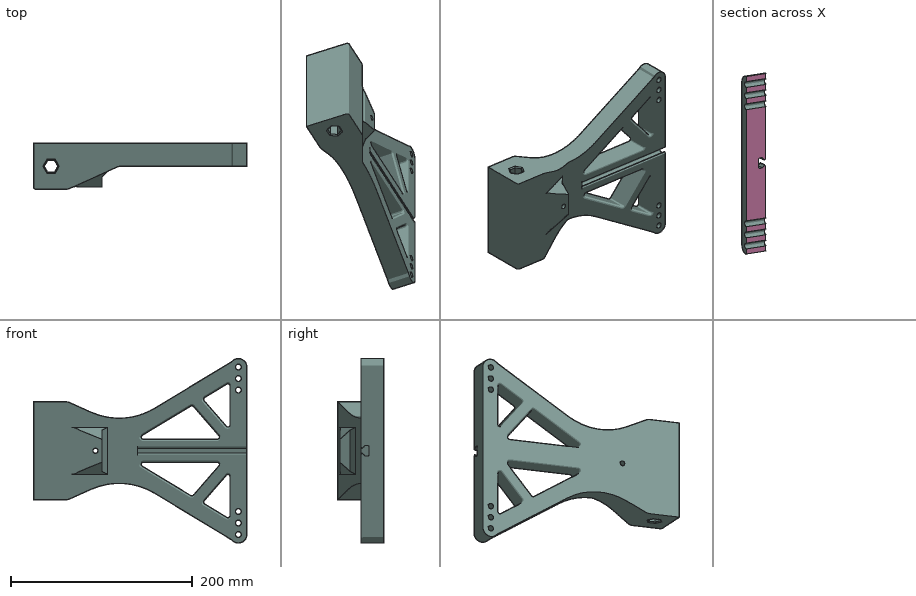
import cadquery as cq
import math


length = 235.0
depth = 50.7
height = 203.2
plate_thickness = depth / 2
block_half_height = 54.0

waist_x = 94.2
waist_half_height = 36.0
waist_radius = 76.0
flare_angle = math.radians(24.3)
wing_angle = math.radians(31.2)
tip_radius = 9.5
tip_x = length - tip_radius
tip_z = height / 2 - tip_radius
tip_blend_radius = 14.0
shoulder_radius = 11.7
corner_radius = 2.5

hex_x = 19.3
hex_across_flats = 13.0
hex_chamfer = 1.3

mount_hole_diameter = 6.0
mount_hole_pitch = 12.7
mount_hole_count = 3

window_corner_radius = 2.0
window_edge_radius = 2.5
window_bottom_z = 13.0
window_wing_inset = 18.5
window_right_x = 216.2
strut_angle = math.radians(-49.0)
strut_x = 184.5
strut_z = 49.0
strut_width = 13.2

groove_start_x = 114.2
groove_throat_half_width = 2.5
groove_throat_depth = 1.6
groove_half_width = 5.6
groove_depth = 9.2
groove_mouth_radius = 1.0
groove_floor_radius = 1.5

boss_half_height = 25.8
boss_front_depth = 48.5
boss_end_x = 75.5
boss_foot_x = 81.5
boss_blend_start_x = 42.0
boss_blend_end_x = 50.0
boss_taper_height = 16.5
screw_hole_x = 68.1
screw_hole_diameter = 5.5

slope_rate = math.tan(flare_angle)
waist_center_z = waist_half_height + waist_radius
shoulder_x = waist_x - (
    block_half_height - waist_center_z + waist_radius / math.cos(flare_angle)
) / slope_rate
slope_end_x = shoulder_x + (depth - plate_thickness) / slope_rate


def waist_point(angle):
    """Point on the waist arc whose tangent is tilted by the given angle."""
    return (
        waist_x + waist_radius * math.sin(angle),
        waist_center_z - waist_radius * math.cos(angle),
    )


def slope_depth(x):
    """Distance of the sloped face from the back face."""
    return depth - (x - shoulder_x) * slope_rate


def tip_entry():
    """Point where the straight wing edge runs into the round tip."""
    start_x, start_z = waist_point(wing_angle)
    dx, dz = start_x - tip_x, start_z - tip_z
    along = dx * math.cos(wing_angle) + dz * math.sin(wing_angle)
    offset_squared = dx**2 + dz**2 - along**2
    travel = -along - math.sqrt(tip_radius**2 - offset_squared)
    return (start_x + travel * math.cos(wing_angle), start_z + travel * math.sin(wing_angle))


def crossing(first, second):
    """Meeting point of two lines, each given as (x, z, angle)."""
    x1, z1, a1 = first
    x2, z2, a2 = second
    travel = ((x2 - x1) * math.sin(a2) - (z2 - z1) * math.cos(a2)) / math.sin(a2 - a1)
    return (x1 + travel * math.cos(a1), z1 + travel * math.sin(a1))


def side_prism():
    """Outline of the part in the XZ plane, carried through the full depth."""
    tip_start = tip_entry()
    half = (
        cq.Workplane("XZ")
        .lineTo(0, block_half_height)
        .lineTo(shoulder_x, block_half_height)
        .lineTo(*waist_point(-flare_angle))
        .threePointArc((waist_x, waist_half_height), waist_point(wing_angle))
        .lineTo(*tip_start)
        .threePointArc((tip_x, tip_z + tip_radius), (length, tip_z))
        .lineTo(length, 0)
        .close()
        .extrude(depth)
    )

    def edge_at(x, z):
        nearby = 0.2
        low = (x - nearby, -2 * depth, z - nearby)
        high = (x + nearby, depth, z + nearby)
        return cq.selectors.BoxSelector(low, high, boundingbox=True)

    half = half.edges(edge_at(shoulder_x, block_half_height)).fillet(shoulder_radius)
    half = half.edges(edge_at(*tip_start)).fillet(tip_blend_radius)
    return half.union(half.mirror("XY"))


def depth_prism():
    """Depth profile in the XY plane: thick block, sloped face, thin plate."""
    prism = (
        cq.Workplane("XY")
        .polyline([
            (0, 0),
            (0, -depth),
            (shoulder_x, -depth),
            (slope_end_x, -plate_thickness),
            (length, -plate_thickness),
            (length, 0),
        ])
        .close()
        .extrude(height, both=True)
    )
    for x in (shoulder_x, slope_end_x):
        y = -slope_depth(x)
        prism = prism.edges(cq.selectors.NearestToPointSelector((x, y, 0))).fillet(shoulder_radius)
    return prism.edges(cq.selectors.NearestToPointSelector((0, -depth, 0))).fillet(corner_radius)


def boss():
    """Block rising from the sloped face in a tangent arc, its two sides leaning inward at 45 degrees."""
    foot_depth = slope_depth(boss_foot_x)
    end_depth = foot_depth + boss_foot_x - boss_end_x
    blend_depth = slope_depth(boss_blend_start_x)
    blend_run = boss_blend_end_x - boss_blend_start_x
    blend_rise = blend_depth - boss_front_depth
    chord_angle = math.atan2(blend_rise, blend_run)
    blend_radius = math.hypot(blend_run, blend_rise) / (2 * math.sin(flare_angle - chord_angle))
    block = (
        cq.Workplane("XY")
        .moveTo(boss_blend_start_x, -plate_thickness)
        .lineTo(boss_blend_start_x, -blend_depth)
        .radiusArc((boss_blend_end_x, -boss_front_depth), blend_radius)
        .lineTo(boss_end_x, -boss_front_depth)
        .lineTo(boss_end_x, -end_depth)
        .lineTo(boss_foot_x, -foot_depth)
        .lineTo(boss_foot_x, -plate_thickness)
        .close()
        .extrude(boss_half_height, both=True)
    )
    slope_plane = cq.Plane(
        origin=(shoulder_x, -depth, 0),
        xDir=(0, 0, 1),
        normal=(math.cos(flare_angle), math.sin(flare_angle), 0),
    )
    top_half_height = boss_half_height - boss_taper_height
    taper = (
        cq.Workplane(slope_plane)
        .polyline([
            (-boss_half_height, -depth),
            (-boss_half_height, 0),
            (-top_half_height, boss_taper_height),
            (top_half_height, boss_taper_height),
            (boss_half_height, 0),
            (boss_half_height, -depth),
        ])
        .close()
        .extrude(length / 2)
    )
    return block.intersect(taper)


def window(*lines):
    """Triangular through window bounded by three lines."""
    corners = [crossing(lines[i], lines[i - 1]) for i in range(3)]
    return (
        cq.Workplane("XZ")
        .polyline(corners)
        .close()
        .extrude(plate_thickness)
        .edges("|Y")
        .fillet(window_corner_radius)
    )


def cut_windows(body):
    """Cut two windows per wing, separated by a strut, and round all their rims."""
    edge_x, edge_z = waist_point(wing_angle)
    under_wing = (
        edge_x + window_wing_inset * math.sin(wing_angle),
        edge_z - window_wing_inset * math.cos(wing_angle),
        wing_angle,
    )
    bottom = (0, window_bottom_z, 0)
    right = (window_right_x, 0, math.pi / 2)
    strut_left = (strut_x, strut_z - strut_width / 2 / math.cos(strut_angle), strut_angle)
    strut_right = (strut_x, strut_z + strut_width / 2 / math.cos(strut_angle), strut_angle)
    for opening in (window(under_wing, strut_left, bottom), window(under_wing, right, strut_right)):
        body = body.cut(opening).cut(opening.mirror("XY"))
    rims = [
        edge
        for face in body.faces("|Y").vals()
        for wire in face.innerWires()
        for edge in wire.Edges()
    ]
    return body.newObject(rims).fillet(window_edge_radius)


def groove():
    """Slot with a V mouth, a narrow throat and a wider cavity behind it, with 45 degree slopes."""
    mouth_half_width = groove_throat_half_width + groove_throat_depth
    cavity_depth = groove_throat_depth + groove_half_width - groove_throat_half_width
    upper_side = [
        (-plate_thickness, mouth_half_width),
        (-plate_thickness + groove_throat_depth, groove_throat_half_width),
        (-plate_thickness + cavity_depth, groove_half_width),
        (-plate_thickness + groove_depth, groove_half_width),
    ]
    lower_side = [(y, -z) for y, z in reversed(upper_side)]
    return (
        cq.Workplane("YZ", origin=(groove_start_x, 0, 0))
        .polyline(upper_side + lower_side)
        .close()
        .extrude(length - groove_start_x)
        .faces(">Y")
        .edges("|X")
        .fillet(groove_floor_radius)
    )


def cut_groove(body):
    """Cut the groove and round the two long edges of its mouth."""
    body = body.cut(groove())
    middle_x = (groove_start_x + length) / 2
    mouth_half_width = groove_throat_half_width + groove_throat_depth
    for z in (mouth_half_width, -mouth_half_width):
        lip = cq.selectors.NearestToPointSelector((middle_x, -plate_thickness, z))
        body = body.edges("|X").edges(lip).fillet(groove_mouth_radius)
    return body


def round_holes():
    """Mounting holes of both wings and the screw hole through the boss."""
    mounts = [
        (tip_x, side * (tip_z - i * mount_hole_pitch))
        for side in (1, -1)
        for i in range(mount_hole_count)
    ]
    mount_holes = cq.Workplane("XZ").pushPoints(mounts).circle(mount_hole_diameter / 2).extrude(depth)
    screw_hole = cq.Workplane("XZ").center(screw_hole_x, 0).circle(screw_hole_diameter / 2).extrude(depth)
    return mount_holes.union(screw_hole)


def hex_bore():
    """Hexagonal bore along Z with flats facing Y and a widened mouth at each end."""
    bore_corners = hex_across_flats / math.cos(math.pi / 6)
    mouth_corners = (hex_across_flats + 2 * hex_chamfer) / math.cos(math.pi / 6)
    center = (hex_x, -depth / 2, -block_half_height)
    bore = cq.Workplane("XY", origin=center).polygon(6, bore_corners).extrude(2 * block_half_height)
    mouth = (
        cq.Workplane("XY", origin=center)
        .polygon(6, mouth_corners)
        .workplane(offset=hex_chamfer)
        .polygon(6, bore_corners)
        .loft()
    )
    return bore.union(mouth).union(mouth.mirror("XY"))


body = side_prism().intersect(depth_prism())
body = cut_windows(body)
body = cut_groove(body)
body = body.union(boss())
result = body.cut(round_holes()).cut(hex_bore())